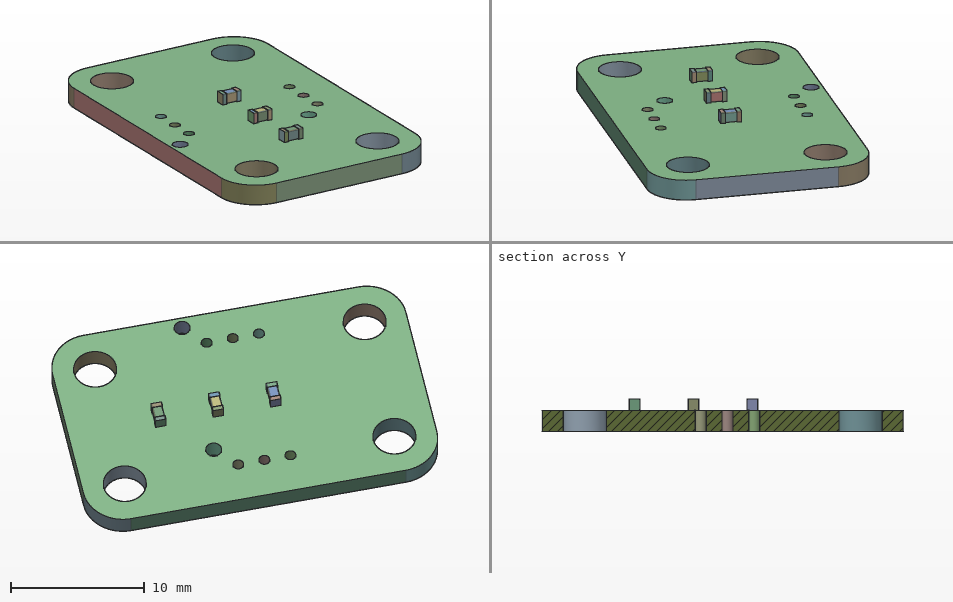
import cadquery as cq

BOARD_LENGTH = 27.0
BOARD_WIDTH = 17.0
BOARD_THICKNESS = 1.6
BOARD_CORNER_RADIUS = 3.0

MOUNT_HOLE_DIAMETER = 3.2
MOUNT_SPACING_X = 20.6
MOUNT_SPACING_Y = 10.6

PIN_HOLE_DIAMETER = 0.8
PIN_COUNT = 3
PIN_PITCH = 2.0
MIDDLE_PIN_X = -0.35
UPPER_PIN_ROW_Y = 5.37
FOOTPRINT_SPACING = 11.29
PEG_HOLE_DIAMETER = 1.2
PEG_HOLE_X = 3.15
PEG_DROP = 1.7

CHIP_COUNT = 3
CHIP_PITCH = 4.4
MIDDLE_CHIP_X = 2.2
CHIP_LENGTH = 1.6
CHIP_WIDTH = 0.8
CHIP_HEIGHT = 0.86
CAP_LENGTH = 0.35
CORE_INSET = 0.04
CHIP_EDGE_RADIUS = 0.04


def centred_row(count, pitch, middle):
    """Positions of evenly spaced items around a middle position."""
    return [middle + (i - (count - 1) / 2) * pitch for i in range(count)]


def cut_through_holes(plate, centres, diameter):
    return plate.faces(">Z").workplane(origin=(0, 0, 0)).pushPoints(centres).hole(diameter)


def make_board():
    board = (
        cq.Workplane("XY")
        .box(BOARD_LENGTH, BOARD_WIDTH, BOARD_THICKNESS, centered=(True, True, False))
        .edges("|Z")
        .fillet(BOARD_CORNER_RADIUS)
    )

    mount_x = MOUNT_SPACING_X / 2
    mount_y = MOUNT_SPACING_Y / 2
    mount_centres = [(x, y) for x in (-mount_x, mount_x) for y in (-mount_y, mount_y)]
    board = cut_through_holes(board, mount_centres, MOUNT_HOLE_DIAMETER)

    for row_y in (UPPER_PIN_ROW_Y, UPPER_PIN_ROW_Y - FOOTPRINT_SPACING):
        pin_centres = [(x, row_y) for x in centred_row(PIN_COUNT, PIN_PITCH, MIDDLE_PIN_X)]
        board = cut_through_holes(board, pin_centres, PIN_HOLE_DIAMETER)
        board = cut_through_holes(board, [(PEG_HOLE_X, row_y - PEG_DROP)], PEG_HOLE_DIAMETER)
    return board


def make_rounded_bar(width, length, height):
    """A centred bar along Y with its four lengthwise edges rounded."""
    return cq.Workplane("XY").box(width, length, height).edges("|Y").fillet(CHIP_EDGE_RADIUS)


def make_chip(x):
    """One chip lying along Y: a slimmer core between two end caps."""
    core_length = CHIP_LENGTH - 2 * CAP_LENGTH
    chip = make_rounded_bar(CHIP_WIDTH - 2 * CORE_INSET, core_length, CHIP_HEIGHT - 2 * CORE_INSET)

    cap_offset = (CHIP_LENGTH - CAP_LENGTH) / 2
    for y in (-cap_offset, cap_offset):
        chip = chip.union(make_rounded_bar(CHIP_WIDTH, CAP_LENGTH, CHIP_HEIGHT).translate((0, y, 0)))
    return chip.translate((x, 0, BOARD_THICKNESS + CHIP_HEIGHT / 2))


board = make_board()
chips = [make_chip(x) for x in centred_row(CHIP_COUNT, CHIP_PITCH, MIDDLE_CHIP_X)]

result = cq.Compound.makeCompound([board.val(), *[chip.val() for chip in chips]])